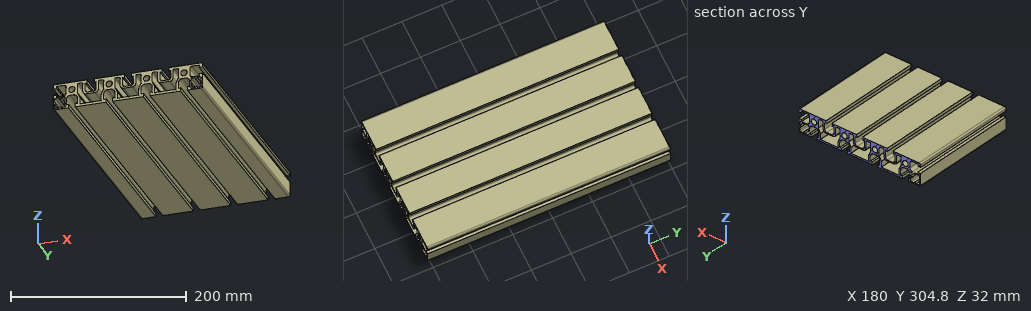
import cadquery as cq

width = 180.0
length = 304.8
height = 32.0
corner_radius = 2.0

core_count = 4
pitch = width / core_count
edge_to_core = pitch / 2
core_half_width = 6.7
screw_hole_diameter = 7.3
core_centres = [(i - (core_count - 1) / 2) * pitch for i in range(core_count)]
top_slot_centres = [x + pitch / 2 for x in core_centres[:-1]]

slot_opening = 8.0
top_slot_opening = 8.5
slot_lip = 4.3
slot_width = 13.5
top_slot_width = 12.8
slot_depth = 15.5
bottom_slot_radius = 5.0
top_slot_radius = 3.0
side_slot_lower_radius = 3.7
side_slot_upper_radius = 2.7

hollow_floor = 3.0
hollow_roof = height - 3.0
lower_wall = 3.0
shoulder_top = 17.5
shoulder_base = 11.0
channel_wall = 3.0
channel_floor = 2.0
channel_radius = 4.3
roof_radius = 1.5

chamber_wall = 1.8
chamber_size = 12.5
chamber_radius = 1.0
rib_height = 1.0
rib_radius = 1.8


def bar(x_min, x_max, z_min, z_max):
    """Full-length rectangular bar given by its extents in X and Z."""
    return (
        cq.Workplane("XZ")
        .center((x_min + x_max) / 2, (z_min + z_max) / 2)
        .rect(x_max - x_min, z_max - z_min)
        .extrude(length / 2, both=True)
    )


def both_sides(body):
    """The body together with its mirror image across X = 0."""
    return body.union(body.mirror("YZ"))


def bottom_slot(x):
    mouth = bar(x - slot_opening / 2, x + slot_opening / 2, 0, slot_depth / 2)
    cavity = bar(x - slot_width / 2, x + slot_width / 2, slot_lip, slot_depth)
    return cavity.edges("|Y and >Z").fillet(bottom_slot_radius).union(mouth)


def top_slot(x):
    mouth = bar(x - top_slot_opening / 2, x + top_slot_opening / 2, height - slot_depth / 2, height)
    cavity = bar(x - top_slot_width / 2, x + top_slot_width / 2, height - slot_depth, height - slot_lip)
    return cavity.edges("|Y and <Z").fillet(top_slot_radius).union(mouth)


def left_slot():
    x_edge = -width / 2
    z = edge_to_core
    mouth = bar(x_edge, x_edge + slot_depth / 2, z - slot_opening / 2, z + slot_opening / 2)
    cavity = bar(x_edge + slot_lip, x_edge + slot_depth, z - slot_width / 2, z + slot_width / 2)
    cavity = cavity.edges("|Y and >X and <Z").fillet(side_slot_lower_radius)
    cavity = cavity.edges("|Y and >X and >Z").fillet(side_slot_upper_radius)
    return cavity.union(mouth)


def hollow(x):
    """Void between two cores, less the channel that forms the top slot."""
    upper_half = pitch / 2 - core_half_width
    lower_half = pitch / 2 - slot_width / 2 - lower_wall
    right_side = [
        (x + lower_half, hollow_floor),
        (x + lower_half, shoulder_base),
        (x + upper_half, shoulder_top),
        (x + upper_half, hollow_roof),
    ]
    left_side = [(2 * x - px, pz) for px, pz in reversed(right_side)]
    void = cq.Workplane("XZ").polyline(right_side + left_side).close().extrude(length / 2, both=True)
    channel_half = top_slot_width / 2 + channel_wall
    channel_base = height - slot_depth - channel_floor
    channel = bar(x - channel_half, x + channel_half, channel_base, height)
    void = void.cut(channel.edges("|Y and <Z").fillet(channel_radius))
    return void.faces(">Z").edges("|Y").fillet(roof_radius)


def left_chamber():
    x_min = -width / 2 + chamber_wall
    x_max = x_min + chamber_size
    z_min = chamber_wall
    z_max = z_min + chamber_size
    x_mid = (x_min + x_max) / 2
    z_mid = (z_min + z_max) / 2
    inset = rib_radius - rib_height
    rib_centres = [
        (x_min - inset, z_mid),
        (x_max + inset, z_mid),
        (x_mid, z_min - inset),
        (x_mid, z_max + inset),
    ]
    ribs = cq.Workplane("XZ").pushPoints(rib_centres).circle(rib_radius).extrude(length / 2, both=True)
    return bar(x_min, x_max, z_min, z_max).edges("|Y").fillet(chamber_radius).cut(ribs)


profile = bar(-width / 2, width / 2, 0, height).edges("|Y").fillet(corner_radius)
for x in core_centres:
    screw_hole = (
        cq.Workplane("XZ")
        .center(x, edge_to_core)
        .circle(screw_hole_diameter / 2)
        .extrude(length / 2, both=True)
    )
    profile = profile.cut(screw_hole).cut(bottom_slot(x))
for x in top_slot_centres:
    profile = profile.cut(hollow(x)).cut(top_slot(x))
profile = profile.cut(both_sides(left_slot())).cut(both_sides(left_chamber()))

result = profile